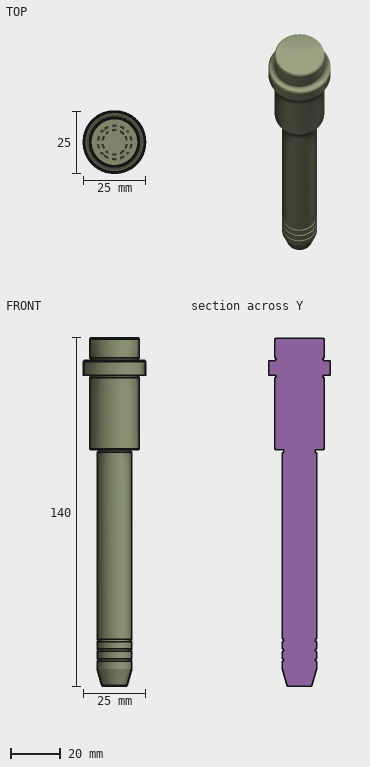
import cadquery as cq
import math

total_length = 140.0
head_radius = 10.0
collar_radius = 12.5
shaft_radius = 7.0
edge_chamfer = 0.5

collar_top_depth = 9.0
collar_bottom_depth = 15.0
body_end_depth = 45.0

groove_radius = 0.5
tip_groove_count = 3
tip_groove_pitch = 4.0
lowest_tip_groove_height = 10.5

neck_radius = 6.5
neck_length = 1.0

tip_length = 7.0
tip_angle = math.radians(15)
tip_chamfer = 0.4

collar_top = total_length - collar_top_depth
collar_bottom = total_length - collar_bottom_depth
body_end = total_length - body_end_depth
neck_bottom = body_end - neck_length
tip_radius = shaft_radius - tip_length * math.tan(tip_angle)


def cylinder(radius, bottom, top):
    """Solid cylinder on the Z axis between two heights."""
    return cq.Workplane("XY").workplane(offset=bottom).circle(radius).extrude(top - bottom)


def round_groove(surface_radius, center_height):
    """Ring of round section that cuts a half-round groove into a cylinder of the given radius."""
    outline = cq.Workplane("XZ").center(surface_radius, center_height).circle(groove_radius)
    return outline.revolve(360, (-surface_radius, 0), (-surface_radius, 1))


def make_shaft():
    """Long shaft with a tapered tip, a narrower neck and half-round grooves near the tip."""
    profile = (
        cq.Workplane("XZ")
        .lineTo(tip_radius - tip_chamfer, 0)
        .lineTo(tip_radius, tip_chamfer)
        .lineTo(shaft_radius, tip_length)
        .lineTo(shaft_radius, neck_bottom)
        .lineTo(neck_radius, neck_bottom)
        .lineTo(neck_radius, body_end)
        .lineTo(0, body_end)
    )
    shaft = profile.close().revolve(360, (0, 0), (0, 1))
    for index in range(tip_groove_count):
        center_height = lowest_tip_groove_height + index * tip_groove_pitch
        shaft = shaft.cut(round_groove(shaft_radius, center_height))
    return shaft


def make_head():
    """Body and head in one cylinder, chamfered at both ends, with half-round grooves beside the collar."""
    head = cylinder(head_radius, body_end, total_length)
    head = head.faces("<Z or >Z").chamfer(edge_chamfer)
    for center_height in (collar_top + groove_radius, collar_bottom - groove_radius):
        head = head.cut(round_groove(head_radius, center_height))
    return head


def make_collar():
    """Flange with a chamfered upper edge."""
    return cylinder(collar_radius, collar_bottom, collar_top).faces(">Z").chamfer(edge_chamfer)


result = make_shaft().union(make_head()).union(make_collar())